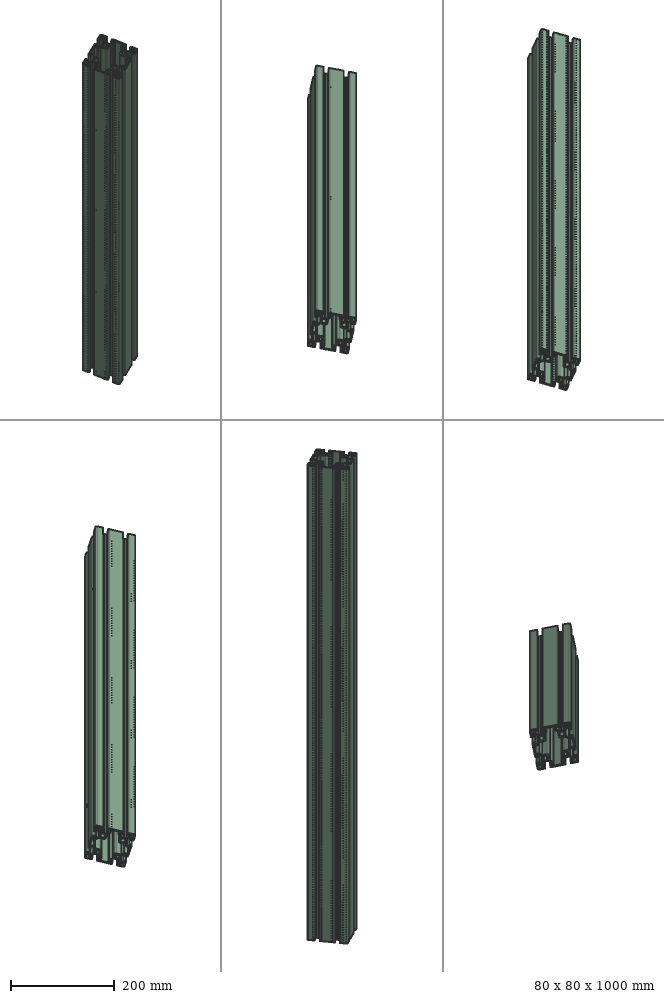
import cadquery as cq

side = 80.0
length = 1000.0
corner_radius = 2.5
wall = 2.5

slot_offset = 20.0
opening_half_width = 5.0
lip_radius = 1.4
lip_thickness = 6.0
lip_root_thickness = 2.4
undercut_half_width = 9.0
undercut_side_height = 6.6
taper_height = 4.5
floor_half_width = 4.7
groove_half_width = 1.0
groove_depth = 0.8

bore_radius = 4.5
core_half_width = 7.3
core_edge_radius = 4.0

arm_half_width = 7.7
arm_length = 6.7
web_reach = 6.0
corner_hollow_side = 6.0
corner_hollow_chamfer = 2.0

half_side = side / 2
lip_back = half_side - lip_thickness
undercut_top = half_side - lip_root_thickness
undercut_bottom = undercut_top - undercut_side_height
slot_floor = undercut_bottom - taper_height
hollow_end = half_side - wall
arm_mouth = hollow_end - arm_length
web_end = slot_offset + web_reach
core_face = slot_offset - core_half_width
core_edge_start = core_face + core_edge_radius


def quarter_turns(point, turns):
    """Point turned clockwise about the profile axis."""
    x, y = point
    for _ in range(turns):
        x, y = y, -x
    return x, y


def t_slot():
    """Slot opening towards +Y, centred on X = 0."""
    flare_half_width = opening_half_width + lip_radius
    flare_end = half_side - lip_radius
    left_side = [
        (-opening_half_width, lip_back),
        (-undercut_half_width, undercut_top),
        (-undercut_half_width, undercut_bottom),
        (-floor_half_width, slot_floor),
        (-groove_half_width, slot_floor),
    ]
    groove_bottom = (0, slot_floor - groove_depth)
    right_side = [(-x, y) for x, y in reversed(left_side)]
    return (
        cq.Workplane("XY")
        .moveTo(-flare_half_width, half_side)
        .radiusArc((-opening_half_width, flare_end), lip_radius)
        .polyline(left_side + [groove_bottom] + right_side, includeCurrent=True)
        .lineTo(opening_half_width, flare_end)
        .radiusArc((flare_half_width, half_side), lip_radius)
        .close()
        .extrude(length)
    )


def central_hollow():
    """Cross-shaped hollow whose four arms reach the outer walls between the slots."""
    left_side = [
        (-core_face, core_edge_start),
        (-core_face, web_end),
        (-arm_half_width, arm_mouth),
        (-arm_half_width, hollow_end),
    ]
    arm = left_side + [(-x, y) for x, y in reversed(left_side)]
    core_edge_end = (core_edge_start, core_face)

    outline = cq.Workplane("XY").moveTo(*arm[0])
    for turns in range(4):
        for point in arm[1:]:
            outline = outline.lineTo(*quarter_turns(point, turns))
        outline = outline.radiusArc(quarter_turns(core_edge_end, turns), -core_edge_radius)
    return outline.close().extrude(length)


def corner_hollow():
    """Square hollow in the +X +Y corner, with its inner edge chamfered."""
    centre = hollow_end - corner_hollow_side / 2
    return (
        cq.Workplane("XY")
        .center(centre, centre)
        .rect(corner_hollow_side, corner_hollow_side)
        .extrude(length)
        .edges("|Z and (<X and <Y)")
        .chamfer(corner_hollow_chamfer)
    )


def core_bore():
    """Bore through the +X +Y core."""
    return cq.Workplane("XY").center(slot_offset, slot_offset).circle(bore_radius).extrude(length)


bar = cq.Workplane("XY").rect(side, side).extrude(length).edges("|Z").fillet(corner_radius)
bar = bar.cut(central_hollow())

slot = t_slot()
quarter_cuts = [
    slot.translate((-slot_offset, 0, 0)),
    slot.translate((slot_offset, 0, 0)),
    corner_hollow(),
    core_bore(),
]
for quarter in range(4):
    for cut in quarter_cuts:
        bar = bar.cut(cut.rotate((0, 0, 0), (0, 0, 1), 90 * quarter))

result = bar